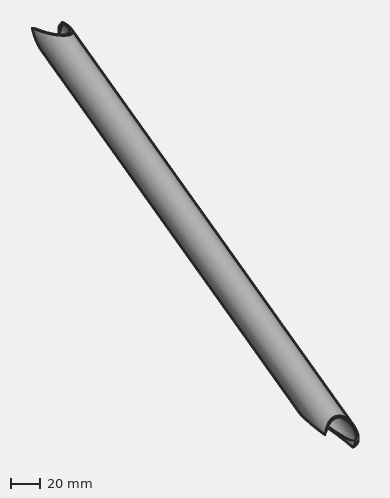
import cadquery as cq

TUBE_RADIUS = 12.7
WALL = 1.245
SLOPE_Y = -0.1951
SLOPE_Z = -0.4364
BLANK_HALF_LENGTH = 280.0

TOP_Z = 92.971
UPPER_STATION = -238.278
UPPER_OFFSET_Y = 0.129
UPPER_DIRECTION = cq.Vector(-0.1103, 0.4049, 1)

CROSS_STATION = 242.790
CROSS_OFFSET_Y = -0.235
CROSS_DIRECTION = cq.Vector(1, 0, 0)
UPRIGHT_RADIUS = 15.875
UPRIGHT_STATION = 245.346
UPRIGHT_OFFSET_Y = -1.071
UPRIGHT_DIRECTION = cq.Vector(0.0831, 0, 1)

CUTTER_HALF_LENGTH = 120.0

AXIS = cq.Vector(1, SLOPE_Y, SLOPE_Z).normalized()


def centred_cylinder(centre, direction, radius, half_length):
    """Solid cylinder reaching half_length to both sides of its centre."""
    unit = direction.normalized()
    start = centre - unit * half_length
    return cq.Solid.makeCylinder(radius, 2 * half_length, start, unit)


def tube_blank():
    """Uncut hollow tube along the inclined axis."""
    centre = cq.Vector(0, 0, 0)
    outside = centred_cylinder(centre, AXIS, TUBE_RADIUS, BLANK_HALF_LENGTH)
    bore = centred_cylinder(centre, AXIS, TUBE_RADIUS - WALL, BLANK_HALF_LENGTH)
    return outside.cut(bore)


def neighbour(station, offset_y, direction, radius):
    """Neighbouring tube whose outside shapes a cope."""
    centre = AXIS * station + cq.Vector(0, offset_y, 0)
    return centred_cylinder(centre, direction, radius, CUTTER_HALF_LENGTH)


def space_above_top():
    """Block that removes everything above the flat upper cut."""
    side = 2 * BLANK_HALF_LENGTH
    corner = cq.Vector(-1.5 * side, -side / 2, TOP_Z)
    return cq.Solid.makeBox(2 * side, side, side, corner)


def largest_solid(shape):
    """The finished tube, without the offcuts beyond its copes."""
    return max(shape.Solids(), key=lambda solid: solid.Volume())


cutters = [
    space_above_top(),
    neighbour(UPPER_STATION, UPPER_OFFSET_Y, UPPER_DIRECTION, TUBE_RADIUS),
    neighbour(CROSS_STATION, CROSS_OFFSET_Y, CROSS_DIRECTION, TUBE_RADIUS),
    neighbour(UPRIGHT_STATION, UPRIGHT_OFFSET_Y, UPRIGHT_DIRECTION, UPRIGHT_RADIUS),
]

tube = tube_blank()
for cutter in cutters:
    tube = largest_solid(tube.cut(cutter))

result = cq.Workplane("XY").newObject([tube])